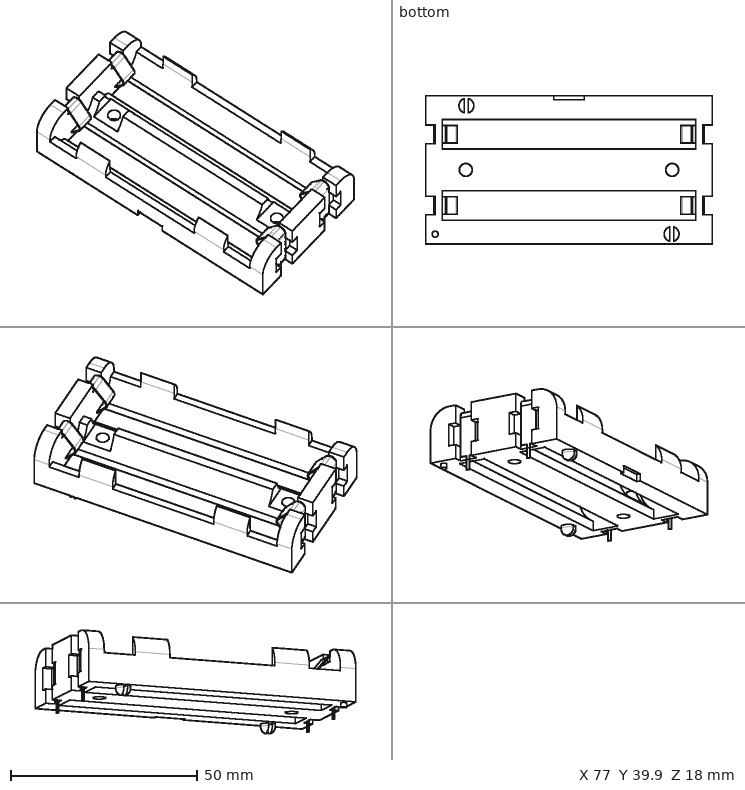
import cadquery as cq
import math


LENGTH = 77.0
WIDTH = 39.9
END_HEIGHT = 15.1
END_THICKNESS = 4.5
SHOULDER_RADIUS = 5.9
RAIL_HEIGHT = 8.25
HALF_LENGTH = LENGTH / 2
HALF_WIDTH = WIDTH / 2
INNER_LENGTH = LENGTH - 2 * END_THICKNESS

CELL_OFFSET = 9.55
CELL_RADIUS = 8.5
CELL_AXIS_Z = 10.2
FLOOR_OPENING_WIDTH = 7.85

CLIP_LENGTH = 10.0
CLIP_CENTRE_X = 20.1
CLIP_TOP = 13.6

GAP_WIDTH = 4.9
SLOT_WIDTH = 9.2
SLOT_BOTTOM = 3.9
SLOT_TOP = 10.0

PAD_LENGTH = 8.0
PAD_CENTRE_X = 27.7
PAD_FLOOR_Z = 4.0
SCREW_HOLE_DIAMETER = 3.4

NOTCH_LENGTH = 8.3
NOTCH_HEIGHT = 2.0
NOTCH_DEPTH = 1.1
PEG_RADIUS = 2.0
PEG_SHANK_LENGTH = 0.6
PEG_SPLIT = 1.1
PEG_X = 27.6
PEG_Y = 17.25
KEY_PIN_DIAMETER = 1.6
KEY_PIN_LENGTH = 1.15
KEY_PIN_X = 35.95

SHEET = 0.3
CONTACT_WIDTH = 4.8
CONTACT_SETBACK = 2.2
CONTACT_BOTTOM = 1.0
CONTACT_TOP = 13.85
BACK_BEND_RADIUS = 1.7
CREST_LENGTH = 0.1
FRONT_BEND_RADIUS = 1.55
LEAF_ANGLE = math.radians(50)
LEAF_LENGTH = 4.55
NOSE_RADIUS = 1.85
TAIL_LENGTH = 3.8
TERMINAL_WIDTH = 1.0
TERMINAL_DEPTH = 2.9

WALL_SETBACK = CONTACT_SETBACK + SHEET
WALL_TOP = CONTACT_TOP - BACK_BEND_RADIUS


def box(x_range, y_range, z_range):
    """Box between the given limits."""
    size = [high - low for low, high in (x_range, y_range, z_range)]
    low_corner = (x_range[0], y_range[0], z_range[0])
    return cq.Workplane("XY").box(*size, centered=False).translate(low_corner)


def extrude_along_x(outline, length):
    """Extrude a YZ outline along X, centred on X = 0."""
    return outline.extrude(length).translate((-length / 2, 0, 0))


def outer_block():
    """Full-length block with both upper long edges rounded."""
    block = cq.Workplane("XY").box(LENGTH, WIDTH, END_HEIGHT, centered=(True, True, False))
    return block.edges("|X and >Z").fillet(SHOULDER_RADIUS)


def clip_keeper():
    """Material kept above the rails: the clips only."""
    keeper = cq.Workplane("XY")
    centres = [(-CLIP_CENTRE_X, 0), (CLIP_CENTRE_X, 0)]
    return keeper.pushPoints(centres).rect(CLIP_LENGTH, WIDTH).extrude(CLIP_TOP)


def cut_interior(body):
    """Lower the rails and ridge, then hollow the cell channels between the end blocks."""
    above_rails = box(
        (-INNER_LENGTH / 2, INNER_LENGTH / 2), (-HALF_WIDTH, HALF_WIDTH), (RAIL_HEIGHT, END_HEIGHT)
    )
    body = body.cut(above_rails.cut(clip_keeper()))
    clear_half_width = CELL_OFFSET + CELL_RADIUS
    between_clips = box(
        (-INNER_LENGTH / 2, INNER_LENGTH / 2),
        (-clear_half_width, clear_half_width),
        (CELL_AXIS_Z, END_HEIGHT),
    )
    ridge_top = box(
        (-INNER_LENGTH / 2, INNER_LENGTH / 2), (-CELL_OFFSET, CELL_OFFSET), (RAIL_HEIGHT, END_HEIGHT)
    )
    body = body.cut(between_clips).cut(ridge_top)
    for side in (-1, 1):
        channel_y = side * CELL_OFFSET
        channel = cq.Workplane("YZ").center(channel_y, CELL_AXIS_Z).circle(CELL_RADIUS)
        opening = cq.Workplane("YZ").center(channel_y, CELL_AXIS_Z / 2).rect(FLOOR_OPENING_WIDTH, CELL_AXIS_Z)
        body = body.cut(extrude_along_x(channel, INNER_LENGTH))
        body = body.cut(extrude_along_x(opening, INNER_LENGTH))
    return body


def contact_opening():
    """Opening for the contact at the -X end, +Y channel."""
    outer_x = -HALF_LENGTH
    wall_x = outer_x + WALL_SETBACK
    inner_x = outer_x + END_THICKNESS
    gap_y = (CELL_OFFSET - GAP_WIDTH / 2, CELL_OFFSET + GAP_WIDTH / 2)
    slot_y = (CELL_OFFSET - SLOT_WIDTH / 2, CELL_OFFSET + SLOT_WIDTH / 2)
    gap = box((outer_x, wall_x), gap_y, (0, END_HEIGHT))
    above_wall = box((wall_x, inner_x), gap_y, (WALL_TOP, END_HEIGHT))
    slot = box((outer_x, wall_x), slot_y, (SLOT_BOTTOM, SLOT_TOP))
    return gap.union(above_wall).union(slot)


def at_each_contact(shape):
    """Copies of a -X, +Y shape at the four contact positions."""
    one_end = [shape, shape.mirror("XZ")]
    return one_end + [item.mirror("YZ") for item in one_end]


def cut_screw_pads(body):
    """Flat pads sunk into the centre ridge, each with a screw hole."""
    for pad_x in (-PAD_CENTRE_X, PAD_CENTRE_X):
        pad = box(
            (pad_x - PAD_LENGTH / 2, pad_x + PAD_LENGTH / 2),
            (-CELL_OFFSET, CELL_OFFSET),
            (PAD_FLOOR_Z, END_HEIGHT),
        )
        hole = cq.Workplane("XY").center(pad_x, 0).circle(SCREW_HOLE_DIAMETER / 2).extrude(END_HEIGHT)
        body = body.cut(pad).cut(hole)
    return body


def cut_side_notch(body):
    """Shallow notch at the bottom of the -Y side."""
    notch = box(
        (-NOTCH_LENGTH / 2, NOTCH_LENGTH / 2),
        (-HALF_WIDTH, -HALF_WIDTH + NOTCH_DEPTH),
        (0, NOTCH_HEIGHT),
    )
    return body.cut(notch)


def split_peg(x, y):
    """Round-nosed locating peg split across its width."""
    shank = cq.Workplane("XY").circle(PEG_RADIUS).extrude(-PEG_SHANK_LENGTH)
    nose = cq.Workplane("XY").sphere(PEG_RADIUS).translate((0, 0, -PEG_SHANK_LENGTH))
    below = cq.Workplane("XY").rect(4 * PEG_RADIUS, 4 * PEG_RADIUS).extrude(-2 * PEG_RADIUS)
    split = cq.Workplane("XY").rect(PEG_SPLIT, 4 * PEG_RADIUS).extrude(-2 * PEG_RADIUS)
    return shank.union(nose).intersect(below).cut(split).translate((x, y, 0))


def make_housing():
    body = cut_interior(outer_block())
    for opening in at_each_contact(contact_opening()):
        body = body.cut(opening)
    body = cut_side_notch(cut_screw_pads(body))
    for side in (-1, 1):
        body = body.union(split_peg(side * PEG_X, side * PEG_Y))
    key_pin = cq.Workplane("XY").center(-KEY_PIN_X, PEG_Y).circle(KEY_PIN_DIAMETER / 2)
    return body.union(key_pin.extrude(-KEY_PIN_LENGTH))


def bend_point(centre, radius, angle):
    """Point on a bend; the angle is measured from +X towards +Z."""
    return (centre[0] + radius * math.cos(angle), centre[1] + radius * math.sin(angle))


def make_contact():
    """Leaf contact at the -X end, +Y channel: back plate, crest, sloped leaf, nose and tail."""
    plate_x = -HALF_LENGTH + CONTACT_SETBACK
    slope_normal = math.pi / 2 - LEAF_ANGLE
    back_centre = (plate_x + BACK_BEND_RADIUS, CONTACT_TOP - BACK_BEND_RADIUS)
    front_centre = (back_centre[0] + CREST_LENGTH, CONTACT_TOP - FRONT_BEND_RADIUS)
    leaf_end = bend_point(front_centre, FRONT_BEND_RADIUS, slope_normal)
    leaf_end = bend_point(leaf_end, LEAF_LENGTH, -LEAF_ANGLE)
    nose_centre = bend_point(leaf_end, -NOSE_RADIUS, slope_normal)

    def side(inset):
        """Points along one side of the sheet, from the foot of the plate to the tip of the tail."""
        back = BACK_BEND_RADIUS - inset
        front = FRONT_BEND_RADIUS - inset
        nose = NOSE_RADIUS - inset
        tail_start = bend_point(nose_centre, nose, -slope_normal)
        return [
            (plate_x + inset, CONTACT_BOTTOM),
            bend_point(back_centre, back, math.pi),
            bend_point(back_centre, back, math.pi * 3 / 4),
            bend_point(back_centre, back, math.pi / 2),
            bend_point(front_centre, front, math.pi / 2),
            bend_point(front_centre, front, (math.pi / 2 + slope_normal) / 2),
            bend_point(front_centre, front, slope_normal),
            bend_point(nose_centre, nose, slope_normal),
            bend_point(nose_centre, nose, 0),
            tail_start,
            bend_point(tail_start, TAIL_LENGTH, LEAF_ANGLE - math.pi),
        ]

    def trace(outline, points):
        """Continue the outline along one side: a straight, then each bend followed by a straight."""
        outline = outline.lineTo(*points[1])
        for mid, end, straight_end in zip(points[2::3], points[3::3], points[4::3]):
            outline = outline.threePointArc(mid, end).lineTo(*straight_end)
        return outline

    outer_side = side(0)
    inner_side = side(SHEET)[::-1]
    outline = trace(cq.Workplane("XZ").moveTo(*outer_side[0]), outer_side)
    outline = trace(outline.lineTo(*inner_side[0]), inner_side).close()
    strip = outline.extrude(CONTACT_WIDTH).translate((0, CONTACT_WIDTH / 2, 0))
    terminal = box(
        (plate_x, plate_x + SHEET),
        (-TERMINAL_WIDTH / 2, TERMINAL_WIDTH / 2),
        (-TERMINAL_DEPTH, CONTACT_BOTTOM),
    )
    return strip.union(terminal).translate((0, CELL_OFFSET, 0))


housing = make_housing()
contacts = at_each_contact(make_contact())

result = cq.Compound.makeCompound([housing.val(), *[contact.val() for contact in contacts]])